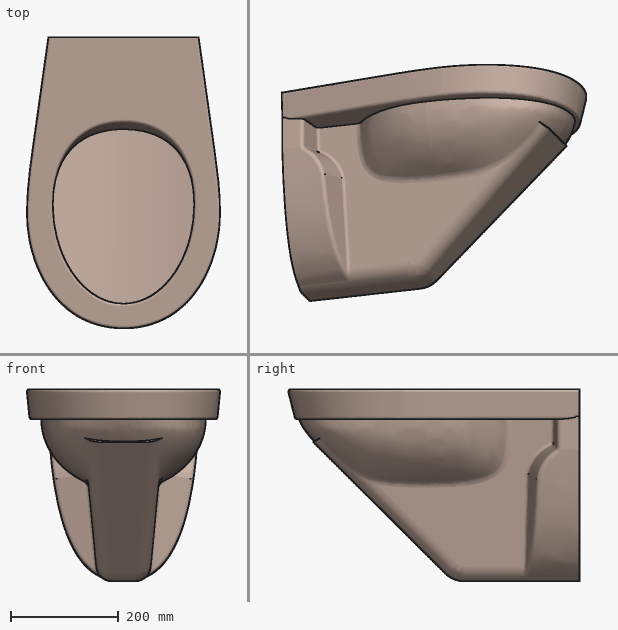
import cadquery as cq
import math


LENGTH = 541.5
HEIGHT = 356.5
RIM_HALF_WIDTH = 179.8
RIM_WALL_HALF_WIDTH = 140.0
RIM_WIDEST_REACH = 325.0
RIM_TAPER_HALF_WIDTH = 169.5
RIM_TAPER_REACH = 210.0
RIM_SIDE_PULL = 0.483
RIM_TIP_PULL = 0.669
RIM_DEPTH = 56.0
RIM_SIDE_DRAFT = 5.5
RIM_TIP_DRAFT = 14.0
RIM_TOP_ROUND = 5.0
RIM_BOTTOM_ROUND = 6.0

OPENING_BACK = 157.0
OPENING_FRONT = 494.0
OPENING_WIDEST_REACH = 310.0
OPENING_HALF_WIDTH = 131.0
OPENING_BACK_PULL = 0.62
OPENING_ROUND = 5.0
CAVITY_DEPTH = 90.0
CAVITY_BACK_LEAN = 18.0
FLOOR_BACK_REACH = 172.0
FLOOR_BACK_DEPTH = 68.0
FLOOR_RISE_PER_REACH = 0.165
FLOOR_SLOPE = math.degrees(math.atan(FLOOR_RISE_PER_REACH))
FLOOR_SAG = 23.0

SLOPE_TOP_DEPTH = 98.0
SLOPE_TOP_REACH = 494.0
SLOPE_RUN_PER_DEPTH = 1.005

BOWL_HALF_WIDTH = 153.0
BOWL_TOP_DEPTH = 54.0
BOWL_TOP_REACH = 521.0
BOWL_BULGE_DEPTH = 133.0
BOWL_BACK = 109.0
BOWL_WIDEST_REACH = 285.0
BOWL_BOTTOM_DEPTH = 180.0
BOWL_SECTION_DEPTHS = (SLOPE_TOP_DEPTH, 130.0, 155.0, BOWL_BOTTOM_DEPTH)
BOWL_FRONT_INSET = 3.0
BOWL_TOP_FULLNESS = 0.63
BOWL_LOW_FULLNESS = 0.82
ELLIPSE_PULL = 0.5523

PEDESTAL_TOP_REACH = 415.0
PEDESTAL_TOP_HALF_WIDTH = 77.0
PEDESTAL_BOTTOM_HALF_WIDTH = 48.0
PEDESTAL_HEEL_ROUND = 50.0
PEDESTAL_EDGE_ROUND = 30.0
BOWL_BLEND = 14.0
BOWL_BLEND_REACH = 480.0

PLATE_HALF_WIDTH = 136.0
PLATE_STRAIGHT_DEPTH = 112.0
PLATE_SIDE_PULL = (117.0, -342.0)
PLATE_BOTTOM_PULL = 42.0
PLATE_EDGE_STEP = (41.0, PLATE_STRAIGHT_DEPTH, 77.0, 168.0)
PLATE_CENTER_STEP = (58.0, 90.0, 114.0, 145.0)
PLATE_SWELL_MIDDLE = (0.69, 0.42)
PLATE_EDGE_ROUND = 8.0
PLATE_BLEND = 6.0
RECESS_CORNER_ROUND = 8.0


def slope_reach(depth):
    """Reach of the sloping front at a given depth."""
    return SLOPE_TOP_REACH - SLOPE_RUN_PER_DEPTH * (depth - SLOPE_TOP_DEPTH)


def quarter_round(half_width, start_y, end_y, side_pull, end_pull):
    """Bezier points from the widest place to the symmetry plane, leaving along Y and arriving along X.

    The pulls are fractions of the enclosing box: 0.55 gives an ellipse, more gives a squarer curve.
    """
    return [
        (half_width, start_y),
        (half_width, start_y + side_pull * (end_y - start_y)),
        (end_pull * half_width, end_y),
        (0, end_y),
    ]


def mirrored(points):
    """The same points on the other side, in reverse order."""
    return [(-x, y) for x, y in reversed(points)]


def mirrored_boxes(low, high):
    """Selector for edges centred in a box at positive X or in its mirror image."""
    right = cq.selectors.BoxSelector(low, high)
    left = cq.selectors.BoxSelector((-high[0], low[1], low[2]), (-low[0], high[1], high[2]))
    return right + left


def loft(wires):
    return cq.Workplane(cq.Solid.makeLoft(wires))


def rim_outline(depth, side_inset, tip_inset):
    """Tapered back, rounded front; the insets pull in the sides and the tip."""
    wall = (RIM_WALL_HALF_WIDTH - side_inset, 0)
    taper_end = (RIM_TAPER_HALF_WIDTH - side_inset, -RIM_TAPER_REACH)
    wide_x = RIM_HALF_WIDTH - side_inset
    taper_run = (taper_end[0] - wall[0]) / RIM_TAPER_REACH
    flank_pull = (RIM_WIDEST_REACH - RIM_TAPER_REACH) / 3
    flank = [
        taper_end,
        (taper_end[0] + taper_run * flank_pull, -RIM_TAPER_REACH - flank_pull),
        (wide_x, -RIM_WIDEST_REACH + flank_pull),
        (wide_x, -RIM_WIDEST_REACH),
    ]
    nose = quarter_round(wide_x, -RIM_WIDEST_REACH, tip_inset - LENGTH, RIM_SIDE_PULL, RIM_TIP_PULL)
    return (
        cq.Workplane("XY", origin=(0, 0, -depth))
        .moveTo(-wall[0], 0)
        .lineTo(*wall)
        .lineTo(*taper_end)
        .bezier(flank)
        .bezier(nose)
        .bezier(mirrored(nose))
        .bezier(mirrored(flank))
        .close()
        .val()
    )


def make_rim():
    top = rim_outline(0, 0, 0)
    bottom = rim_outline(RIM_DEPTH, RIM_SIDE_DRAFT, RIM_TIP_DRAFT)
    rim = loft([top, bottom])
    rim = rim.faces(">Z").edges("not(>Y)").fillet(RIM_TOP_ROUND)
    return rim.faces("<Z").edges("not(>Y)").fillet(RIM_BOTTOM_ROUND)


def bowl_section(depth, half_width, front, fullness):
    """Egg with an elliptical back and a front nose of the given fullness."""
    back = quarter_round(half_width, -BOWL_WIDEST_REACH, -BOWL_BACK, ELLIPSE_PULL, ELLIPSE_PULL)
    nose = quarter_round(half_width, -BOWL_WIDEST_REACH, -front, ELLIPSE_PULL, fullness)
    return (
        cq.Workplane("XY", origin=(0, 0, -depth))
        .moveTo(half_width, -BOWL_WIDEST_REACH)
        .bezier(back)
        .bezier(mirrored(back))
        .bezier(mirrored(nose[::-1]))
        .bezier(nose[::-1])
        .close()
        .val()
    )


def make_bowl():
    sections = [bowl_section(BOWL_TOP_DEPTH, BOWL_HALF_WIDTH, BOWL_TOP_REACH, BOWL_TOP_FULLNESS)]
    for depth in BOWL_SECTION_DEPTHS:
        drop = (depth - BOWL_TOP_DEPTH) / BOWL_BULGE_DEPTH
        half_width = BOWL_HALF_WIDTH * math.sqrt(1 - drop**2)
        front = slope_reach(depth) - BOWL_FRONT_INSET
        sections.append(bowl_section(depth, half_width, front, BOWL_LOW_FULLNESS))
    return loft(sections)


def make_pedestal():
    """Side profile with a sloping front, narrowing downward, rounded along the front and underside."""
    top = -RIM_DEPTH + RIM_BOTTOM_ROUND
    wide = PEDESTAL_TOP_HALF_WIDTH
    narrow = PEDESTAL_BOTTOM_HALF_WIDTH
    side = (
        cq.Workplane("YZ")
        .moveTo(0, top)
        .lineTo(-PEDESTAL_TOP_REACH, top)
        .lineTo(-SLOPE_TOP_REACH, -SLOPE_TOP_DEPTH)
        .lineTo(-slope_reach(HEIGHT), -HEIGHT)
        .lineTo(0, -HEIGHT)
        .close()
        .extrude(wide, both=True)
        .edges("<Z and |X")
        .edges("<Y")
        .fillet(PEDESTAL_HEEL_ROUND)
    )
    front = (
        cq.Workplane("XZ")
        .polyline([(-wide, top), (wide, top), (narrow, -HEIGHT), (-narrow, -HEIGHT)])
        .close()
        .extrude(LENGTH)
    )
    pedestal = side.intersect(front)
    underside = mirrored_boxes((1, -SLOPE_TOP_REACH, -HEIGHT), (wide, -1, -SLOPE_TOP_DEPTH))
    return pedestal.edges(underside).fillet(PEDESTAL_EDGE_ROUND)


def plate_step(x, recess, recess_end, shelf, shelf_start):
    """Side profile of the plate: thin recess on top, swelling to a thicker shelf below."""
    top = -RIM_DEPTH + RIM_BOTTOM_ROUND
    middle_reach = recess + PLATE_SWELL_MIDDLE[0] * (shelf - recess)
    middle_depth = recess_end + PLATE_SWELL_MIDDLE[1] * (shelf_start - recess_end)
    return (
        cq.Workplane("YZ", origin=(x, 0, 0))
        .moveTo(0, top)
        .lineTo(-recess, top)
        .lineTo(-recess, -recess_end)
        .threePointArc((-middle_reach, -middle_depth), (-shelf, -shelf_start))
        .lineTo(-shelf, -HEIGHT)
        .lineTo(0, -HEIGHT)
        .close()
        .val()
    )


def make_plate():
    """U-shaped plate whose face leans out toward the pedestal."""
    edge = plate_step(PLATE_HALF_WIDTH, *PLATE_EDGE_STEP)
    center = plate_step(0, *PLATE_CENTER_STEP)
    right_half = loft([center, edge])
    body = right_half.union(right_half.mirror("YZ"))
    side = [
        (PLATE_HALF_WIDTH, -PLATE_STRAIGHT_DEPTH),
        PLATE_SIDE_PULL,
        (PLATE_BOTTOM_PULL, -HEIGHT),
        (0, -HEIGHT),
    ]
    outline = (
        cq.Workplane("XZ")
        .moveTo(-PLATE_HALF_WIDTH, 0)
        .lineTo(PLATE_HALF_WIDTH, 0)
        .lineTo(*side[0])
        .bezier(side)
        .bezier(mirrored(side))
        .close()
        .extrude(LENGTH)
    )
    plate = body.intersect(outline)
    middle_x = PLATE_HALF_WIDTH / 2
    corner = mirrored_boxes(
        (0.9 * middle_x, -PLATE_CENTER_STEP[0], -PLATE_EDGE_STEP[1]),
        (1.1 * middle_x, -PLATE_EDGE_STEP[0], -PLATE_CENTER_STEP[1]),
    )
    plate = plate.edges(corner).fillet(RECESS_CORNER_ROUND)
    lip = mirrored_boxes(
        (1.15 * middle_x, -PLATE_CENTER_STEP[2], -HEIGHT),
        (PLATE_HALF_WIDTH + 1, 1 - PLATE_EDGE_STEP[0], -RIM_DEPTH),
    )
    return plate.edges(lip).fillet(PLATE_EDGE_ROUND)


def opening_outline(depth, back):
    widest = -OPENING_WIDEST_REACH
    rear = quarter_round(OPENING_HALF_WIDTH, widest, -back, OPENING_BACK_PULL, OPENING_BACK_PULL)
    front = quarter_round(OPENING_HALF_WIDTH, widest, -OPENING_FRONT, ELLIPSE_PULL, ELLIPSE_PULL)
    return (
        cq.Workplane("XY", origin=(0, 0, -depth))
        .moveTo(OPENING_HALF_WIDTH, widest)
        .bezier(rear)
        .bezier(mirrored(rear))
        .bezier(mirrored(front[::-1]))
        .bezier(front[::-1])
        .close()
        .val()
    )


def make_cavity():
    """Opening whose back wall leans forward, ending on a gently dished floor that rises to the front."""
    well = loft([
        opening_outline(0, OPENING_BACK),
        opening_outline(CAVITY_DEPTH, OPENING_BACK + CAVITY_BACK_LEAN),
    ])
    half = RIM_HALF_WIDTH
    above_floor = (
        cq.Workplane("XZ", origin=(0, LENGTH, 0))
        .moveTo(-half, FLOOR_SAG)
        .threePointArc((0, 0), (half, FLOOR_SAG))
        .lineTo(half, LENGTH)
        .lineTo(-half, LENGTH)
        .close()
        .extrude(2 * LENGTH)
        .rotate((0, 0, 0), (1, 0, 0), -FLOOR_SLOPE)
        .translate((0, -FLOOR_BACK_REACH, -FLOOR_BACK_DEPTH))
    )
    return well.intersect(above_floor)


def blend_bowl(body):
    """Soften the inside corners where the bowl runs into the pedestal sides."""
    crease = mirrored_boxes(
        (PEDESTAL_BOTTOM_HALF_WIDTH, -BOWL_BLEND_REACH, -BOWL_BOTTOM_DEPTH + 1),
        (PEDESTAL_TOP_HALF_WIDTH, -BOWL_BACK, -RIM_DEPTH),
    )
    return body.edges(crease).edges("%BSPLINE").fillet(BOWL_BLEND)


def blend_plate(body):
    """Soften the inside corners where the plate runs into the pedestal sides."""
    crease = mirrored_boxes(
        (PEDESTAL_BOTTOM_HALF_WIDTH, -PLATE_CENTER_STEP[2], PEDESTAL_EDGE_ROUND - HEIGHT),
        (PEDESTAL_TOP_HALF_WIDTH, -PLATE_EDGE_STEP[0], -RIM_DEPTH),
    )
    return body.edges(crease).fillet(PLATE_BLEND)


def round_opening(body):
    rim_edge = cq.selectors.BoxSelector(
        (-OPENING_HALF_WIDTH, -OPENING_FRONT, -1),
        (OPENING_HALF_WIDTH, -OPENING_BACK, 1),
    )
    return body.edges(rim_edge).fillet(OPENING_ROUND)


body = blend_bowl(make_pedestal().union(make_bowl()))
body = blend_plate(body.union(make_plate()))
body = body.union(make_rim())
result = round_opening(body.cut(make_cavity()))